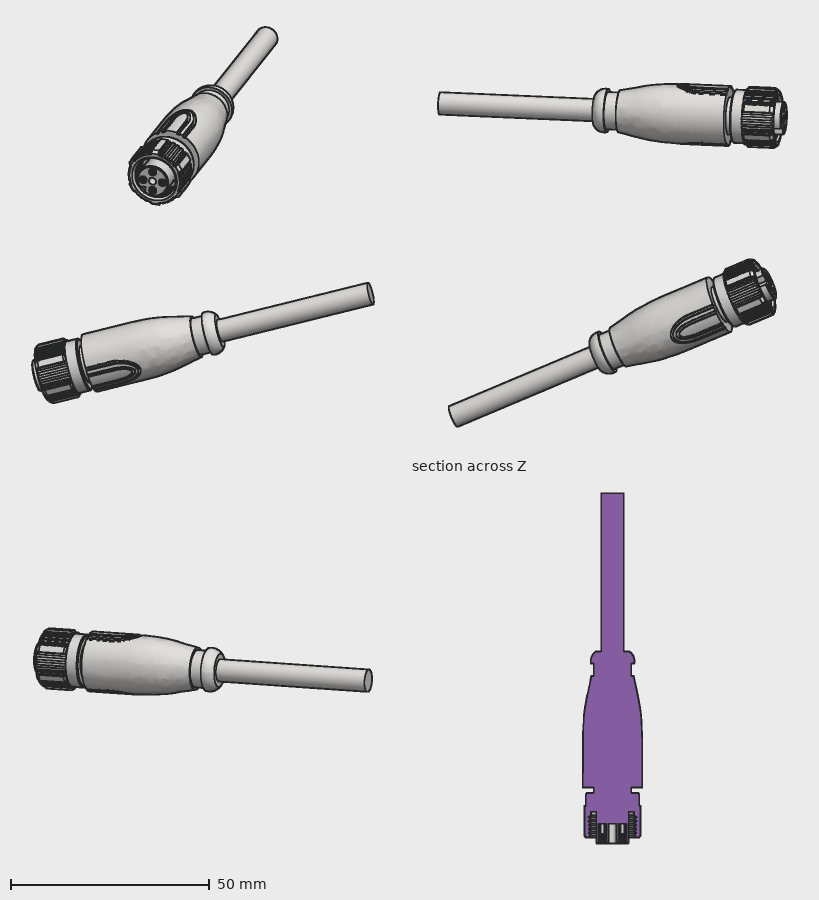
import cadquery as cq
import math


NUT_FRONT = 1.55
GRIP_BACK = 9.6
NUT_BACK = 12.75
BODY_FRONT = 14.1
BODY_BELLY = 23.5
BODY_SHOULDER = 33.4
BODY_BACK = 42.2
FLANGE_FRONT = 45.3
FLANGE_BACK = 48.4
CABLE_END = 88.2

OVERLAP = 1.0

CABLE_R = 2.85
NECK_R = 4.75
FLANGE_R = 5.5
FLANGE_BACK_R = 4.2
BODY_R = 7.5
BODY_SHOULDER_R = 7.1
BODY_BACK_R = 5.35
COLLAR_R = 6.75
KNURL_R = 7.1
INSERT_R = 4.15

NUT_EDGE = 0.4
COLLAR_EDGE = 0.3
CAVITY_BOTTOM = 8.0
THREAD_MINOR_R = 5.4
THREAD_MAJOR_R = 6.0
THREAD_PITCH = 1.0
THREAD_TURNS = 5
SECTORS = 6
SECTOR_ANGLE = 360 / SECTORS
GROOVES_PER_SECTOR = 4
GROOVE_PITCH_ANGLE = 10.6
GROOVE_WIDTH = 0.6
GROOVE_DEPTH = 0.3
PAD_TOP_R = 7.6
PAD_TOE_R = 6.95
PAD_ROOT_R = 6.4
PAD_WIDTH = 1.9
PAD_FRONT_SLOPE = 0.9
PAD_BACK_SLOPE = 0.55

INSERT_EDGE = 0.25
CONTACT_OFFSET = 2.55
CONTACT_HOLE_R = 0.95
CONTACT_DEPTH = 5.0
SLEEVE_R = 0.8
SLEEVE_BORE_R = 0.45
SLEEVE_RECESS = 0.4
SLEEVE_SLIT = 0.35
KEY_CORNER = 1.9
KEY_DEPTH = 6.0

PANEL_R = 7.6
PANEL_FLOOR_R = 7.2
OUTER_ARCH = (3.75, 27.4)
LAND_ARCH = (3.15, 26.8)
INNER_ARCH = (2.25, 26.0)
TONGUE_ARCH = (1.55, 25.2)
ARCH_SPRING = 21.0


def revolve(profile):
    """Turn a closed (radius, station) profile about the Y axis."""
    return profile.close().revolve(360, (0, 0, 0), (0, 1, 0))


def cylinder(radius, start, end, x=0, z=0):
    """Cylinder parallel to Y between two stations."""
    return cq.Workplane("XZ", origin=(x, start, z)).circle(radius).extrude(start - end)


def tube(outer, inner, start, end, x=0, z=0):
    return cylinder(outer, start, end, x, z).cut(cylinder(inner, start, end, x, z))


def spin(solid, angle):
    return solid.rotate((0, 0, 0), (0, 1, 0), angle)


def make_cable_end():
    """Cable, strain-relief flange and the neck that joins them to the body."""
    cable = cylinder(CABLE_R, FLANGE_FRONT, CABLE_END)
    neck = cylinder(NECK_R, NUT_BACK - OVERLAP, FLANGE_BACK - OVERLAP)
    bulge = math.sqrt(0.5)
    arc_mid = (
        FLANGE_BACK_R + (FLANGE_R - FLANGE_BACK_R) * bulge,
        FLANGE_FRONT + (FLANGE_BACK - FLANGE_FRONT) * bulge,
    )
    flange = revolve(
        cq.Workplane("XY")
        .moveTo(0, FLANGE_FRONT)
        .lineTo(FLANGE_R, FLANGE_FRONT)
        .threePointArc(arc_mid, (FLANGE_BACK_R, FLANGE_BACK))
        .lineTo(0, FLANGE_BACK)
    )
    return cable.union(neck).union(flange)


def make_body():
    """Moulded grip: nearly cylindrical in front, narrowing along a smooth curve to the cable."""
    taper = [
        (BODY_R, BODY_BELLY),
        (BODY_SHOULDER_R, BODY_SHOULDER),
        (BODY_BACK_R, BODY_BACK),
    ]
    straight = (0, 1)
    lean = (BODY_BACK_R - BODY_SHOULDER_R, BODY_BACK - BODY_SHOULDER)
    return revolve(
        cq.Workplane("XY")
        .moveTo(0, BODY_FRONT)
        .lineTo(BODY_R, BODY_FRONT)
        .spline(taper, tangents=[straight, lean], includeCurrent=True)
        .lineTo(0, BODY_BACK)
    )


def arch_prism(arch):
    """Vertical prism with straight sides and a half-ellipse end, above and below the axis."""
    half_width, tip = arch
    return (
        cq.Workplane("XY")
        .moveTo(half_width, BODY_FRONT)
        .lineTo(half_width, ARCH_SPRING)
        .ellipseArc(half_width, tip - ARCH_SPRING, 0, 90, startAtCurrent=True)
        .ellipseArc(half_width, tip - ARCH_SPRING, 90, 180, startAtCurrent=True)
        .lineTo(-half_width, BODY_FRONT)
        .close()
        .extrude(2 * PANEL_R, both=True)
    )


def add_panels(body):
    """Two concentric arched grooves with a raised land and a raised tongue inside them."""
    shell = tube(BODY_R + OVERLAP, PANEL_FLOOR_R, BODY_FRONT, OUTER_ARCH[1])
    raised = tube(PANEL_R, PANEL_FLOOR_R - OVERLAP, BODY_FRONT, OUTER_ARCH[1])
    land = arch_prism(LAND_ARCH).cut(arch_prism(INNER_ARCH))
    body = body.cut(shell.intersect(arch_prism(OUTER_ARCH)))
    body = body.union(raised.intersect(land))
    return body.union(raised.intersect(arch_prism(TONGUE_ARCH)))


def make_nut_blank():
    """Turned nut: plain collar behind, larger grip section in front."""
    return revolve(
        cq.Workplane("XY")
        .moveTo(0, NUT_FRONT)
        .lineTo(KNURL_R - NUT_EDGE, NUT_FRONT)
        .lineTo(KNURL_R, NUT_FRONT + NUT_EDGE)
        .lineTo(KNURL_R, GRIP_BACK)
        .lineTo(COLLAR_R, GRIP_BACK)
        .lineTo(COLLAR_R, NUT_BACK - COLLAR_EDGE)
        .lineTo(COLLAR_R - COLLAR_EDGE, NUT_BACK)
        .lineTo(0, NUT_BACK)
    )


def add_grip(nut):
    """Raised pads around the nut with axial grooves between them."""
    pad = (
        cq.Workplane("YZ")
        .moveTo(NUT_FRONT, PAD_ROOT_R)
        .lineTo(NUT_FRONT, PAD_TOE_R)
        .lineTo(NUT_FRONT + PAD_FRONT_SLOPE, PAD_TOP_R)
        .lineTo(GRIP_BACK - PAD_BACK_SLOPE, PAD_TOP_R)
        .lineTo(GRIP_BACK, PAD_TOE_R)
        .lineTo(GRIP_BACK, PAD_ROOT_R)
        .close()
        .extrude(PAD_WIDTH / 2, both=True)
    )
    groove = cq.Workplane("XY").box(GROOVE_WIDTH, GRIP_BACK - NUT_FRONT, 2 * GROOVE_DEPTH)
    groove = groove.translate((0, (GRIP_BACK + NUT_FRONT) / 2, KNURL_R))
    for sector in range(SECTORS):
        pad_angle = sector * SECTOR_ANGLE
        nut = nut.union(spin(pad, pad_angle))
        for index in range(GROOVES_PER_SECTOR):
            offset = (index - (GROOVES_PER_SECTOR - 1) / 2) * GROOVE_PITCH_ANGLE
            nut = nut.cut(spin(groove, pad_angle + SECTOR_ANGLE / 2 + offset))
    return nut


def cut_cavity(nut):
    """Mating cavity with a countersunk mouth and ring-shaped thread grooves."""
    thread_depth = THREAD_MAJOR_R - THREAD_MINOR_R
    cavity = (
        cq.Workplane("XY")
        .moveTo(0, NUT_FRONT)
        .lineTo(THREAD_MAJOR_R, NUT_FRONT)
        .lineTo(THREAD_MINOR_R, NUT_FRONT + thread_depth)
    )
    for turn in range(THREAD_TURNS):
        start = NUT_FRONT + thread_depth + turn * THREAD_PITCH
        cavity = cavity.lineTo(THREAD_MAJOR_R, start + THREAD_PITCH / 2)
        cavity = cavity.lineTo(THREAD_MINOR_R, start + THREAD_PITCH)
    cavity = cavity.lineTo(THREAD_MINOR_R, CAVITY_BOTTOM).lineTo(0, CAVITY_BOTTOM)
    return nut.cut(revolve(cavity))


def contact_sleeve(x, z):
    """Spring contact: a tube whose wall is split by two crossed slits."""
    sleeve = tube(SLEEVE_R, SLEEVE_BORE_R, SLEEVE_RECESS, CONTACT_DEPTH + OVERLAP, x, z)
    slit = cq.Workplane("XY").box(2 * CONTACT_HOLE_R, CONTACT_DEPTH, SLEEVE_SLIT)
    slit = slit.union(spin(slit, 90)).translate((x, 0, z))
    return sleeve.cut(slit)


def make_insert():
    """Contact carrier with five contact holes and a keyway at the lower -X side."""
    insert = cylinder(INSERT_R, 0, CAVITY_BOTTOM + OVERLAP).faces("<Y").chamfer(INSERT_EDGE)
    outer_contacts = [
        (CONTACT_OFFSET, 0),
        (0, CONTACT_OFFSET),
        (-CONTACT_OFFSET, 0),
        (0, -CONTACT_OFFSET),
    ]
    for x, z in [(0, 0)] + outer_contacts:
        insert = insert.cut(cylinder(CONTACT_HOLE_R, 0, CONTACT_DEPTH, x, z))
    for x, z in outer_contacts:
        insert = insert.union(contact_sleeve(x, z))
    key = cq.Workplane("XY").box(INSERT_R, KEY_DEPTH, INSERT_R, centered=False)
    key = key.translate((-KEY_CORNER - INSERT_R, 0, -KEY_CORNER - INSERT_R))
    return insert.cut(key)


nut = cut_cavity(add_grip(make_nut_blank()))
result = make_cable_end().union(add_panels(make_body())).union(nut).union(make_insert())